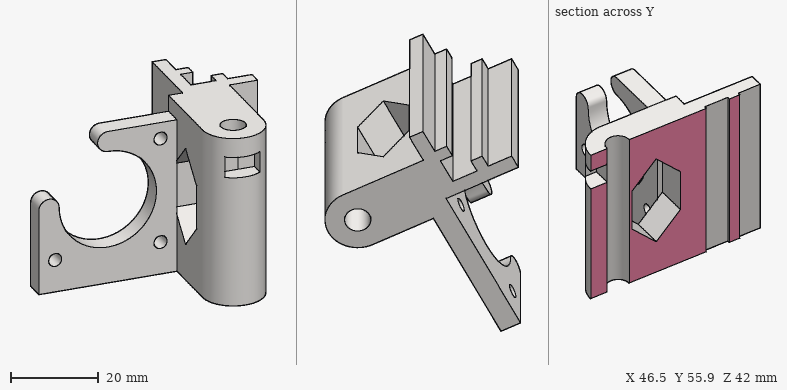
import cadquery as cq

length_x = 46.5
length_y = 55.9
height = 42.0
mid_z = height / 2

wall_reach = 18.45
wall_thickness = 3.4
rib_inset = 6.0
rib_width = 2.85
rib_height = 3.0
corner_y = length_y - wall_reach

block_radius = 7.5
block_y = 41.5
bore_diameter = 6.0
bore_x = length_x - block_radius

window_x = 28.7
window_half_width = 6.55
window_half_height = 12.0

pocket_bottom = 32.15
pocket_height = 5.1
pocket_front = 4.45
pocket_back = 4.0

plate_thickness = 5.05
opening_radius = 11.95
arm_width = 5.05
screw_diameter = 3.2
screw_offset = 12.95
opening_y = opening_radius + arm_width
plate_top = mid_z + opening_radius + arm_width


def box(x, y, z, size_x, size_y, size_z):
    """Box with its lowest corner at (x, y, z)."""
    return cq.Workplane("XY").box(size_x, size_y, size_z, centered=False).translate((x, y, z))


def make_bracket():
    wall_x = box(0, corner_y, 0, wall_reach, wall_thickness, height)
    wall_y = box(wall_reach - wall_thickness, corner_y, 0, wall_thickness, wall_reach, height)
    rib_on_x = box(rib_inset, corner_y + wall_thickness, 0, rib_width, rib_height, height)
    rib_on_y = box(
        wall_reach - wall_thickness - rib_height,
        length_y - rib_inset - rib_width,
        0,
        rib_height,
        rib_width,
        height,
    )
    return wall_x.union(wall_y).union(rib_on_x).union(rib_on_y)


def make_block():
    block = (
        cq.Workplane("XY")
        .moveTo(wall_reach, block_y - block_radius)
        .lineTo(bore_x, block_y - block_radius)
        .threePointArc((length_x, block_y), (bore_x, block_y + block_radius))
        .lineTo(wall_reach, block_y + block_radius)
        .close()
        .extrude(height)
    )
    bore = cq.Workplane("XY").center(bore_x, block_y).circle(bore_diameter / 2).extrude(height)
    shoulder = window_half_height - window_half_width
    window = (
        cq.Workplane("XZ", origin=(window_x, 0, mid_z))
        .polyline([
            (0, window_half_height),
            (window_half_width, shoulder),
            (window_half_width, -shoulder),
            (0, -window_half_height),
            (-window_half_width, -shoulder),
            (-window_half_width, shoulder),
        ])
        .close()
        .extrude(-length_y)
    )
    pocket = box(
        bore_x + bore_diameter / 2,
        block_y - pocket_front,
        pocket_bottom,
        block_radius,
        pocket_front + pocket_back,
        pocket_height,
    )
    return block.cut(bore).cut(window).cut(pocket)


def make_plate():
    back_y = block_y - block_radius
    tip_radius = arm_width / 2
    arc_mid = opening_radius * 0.5 ** 0.5
    plate = (
        cq.Workplane("YZ", origin=(wall_reach, 0, 0))
        .lineTo(back_y, 0)
        .lineTo(back_y, plate_top)
        .lineTo(opening_y, plate_top)
        .threePointArc(
            (opening_y - tip_radius, plate_top - tip_radius),
            (opening_y, plate_top - arm_width),
        )
        .threePointArc(
            (opening_y + arc_mid, mid_z - arc_mid),
            (arm_width, mid_z),
        )
        .threePointArc((tip_radius, mid_z + tip_radius), (0, mid_z))
        .close()
        .extrude(plate_thickness)
    )
    screws = (
        cq.Workplane("YZ", origin=(wall_reach, opening_y, mid_z))
        .pushPoints([
            (-screw_offset, -screw_offset),
            (screw_offset, -screw_offset),
            (screw_offset, screw_offset),
        ])
        .circle(screw_diameter / 2)
        .extrude(plate_thickness)
    )
    return plate.cut(screws)


result = make_bracket().union(make_block()).union(make_plate())